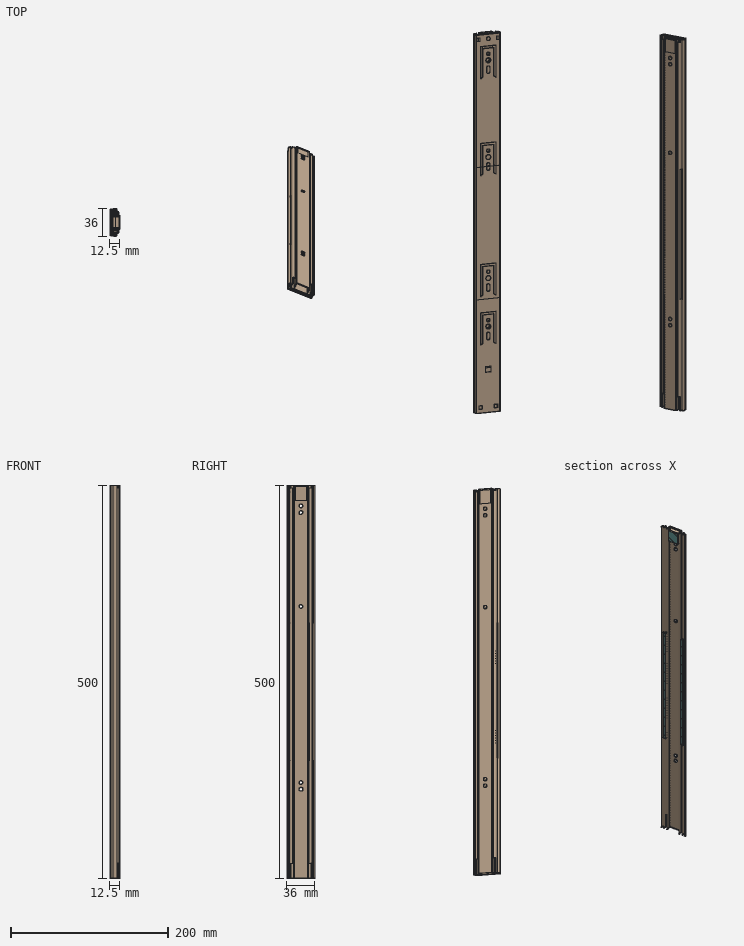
import cadquery as cq
import math


length = 500.0
depth = 12.5
half_width = 18.0
sheet = 1.2
clearance = 0.2

outer_half_neck = 17.0
outer_corner_radius = 1.5
neck_end = 3.5
race_x = 6.5
race_radius = 2.5
race_start_angle = 123
race_end_angle = 20

middle_back_x = 2.5
middle_half = 14.25
middle_lip_x = 11.5
middle_lip_radius = 2.5
middle_lip_half = 10.5
middle_notch_x = 10.0
middle_notch_bottom = 19.0
middle_notch_top = 3.0

inner_half_back = 8.5
inner_half = 9.5
inner_bend_x = 11.0
inner_lip_x = 5.0

tongue_tops = [484.5, 356.5, 196.5, 132.5]
tongue_height = 42.5
tongue_half_outside = 10.5
tongue_half_inside = 7.5
tongue_cross_slot = 3.0
tongue_end_slant = 2.0
small_hole_drop = 10.5
small_hole_diameter = 4.5
large_hole_drop = 19.0
large_hole_diameter = 6.5
long_slot_drop = 31.5
long_slot_length = 10.0
long_slot_width = 4.5

through_small = [0, 1, 3]
through_large = [0, 3]
through_hole_diameter = 4.5

end_hole_diameter = 5.0
end_hole_z = 494.0
window_width = 7.5
window_bottom = 53.5
window_top = 59.0
window_ramp = 2.0
foot_hole_side = 4.5
foot_hole_y = 10.5
foot_hole_z = 7.5
dent_y = 13.5
dent_width = 4.5
dent_height = 4.5
dent_depth = 1.0
dent_z = 494.0

cage_bottom = 150.0
cage_length = 175.0
cage_sheet = 0.8
outer_cage_arm = 1.1
outer_cage_end_x = 7.5
inner_cage_arm = 2.0
inner_cage_end_x = 9.0

stop_half_width = 7.0
stop_bottom = 481.0
stop_length = 17.5
stop_split_x = 7.0


def mirrored(half_section):
    """Join a half section on the +Y side to its mirror image."""
    return half_section.union(half_section.mirror("XZ"))


def back_hole(center_y, center_z, diameter):
    """A round cutter along X, through every rail."""
    return cq.Workplane("YZ").center(center_y, center_z).circle(diameter / 2).extrude(depth)


def back_window(center_y, center_z, size_y, size_z):
    """A rectangular cutter along X, through the outer rail's back."""
    return cq.Workplane("YZ").center(center_y, center_z).rect(size_y, size_z).extrude(sheet)


def tongue_cutter(top):
    """The U-shaped slot that frees a tongue, with the tongue's two holes and long slot."""
    bottom = top - tongue_height
    half_slot = (
        cq.Workplane("YZ")
        .moveTo(0, top)
        .lineTo(tongue_half_outside, top)
        .lineTo(tongue_half_outside, bottom)
        .lineTo(tongue_half_inside, bottom + tongue_end_slant)
        .lineTo(tongue_half_inside, top - tongue_cross_slot)
        .lineTo(0, top - tongue_cross_slot)
        .close()
        .extrude(sheet)
    )
    long_slot = (
        cq.Workplane("YZ")
        .center(0, top - long_slot_drop)
        .slot2D(long_slot_length, long_slot_width, 90)
        .extrude(sheet)
    )
    return (
        mirrored(half_slot)
        .union(long_slot)
        .union(back_hole(0, top - small_hole_drop, small_hole_diameter))
        .union(back_hole(0, top - large_hole_drop, large_hole_diameter))
    )


def cut_through_holes(rail):
    """Drill a rail behind the outer one in line with the chosen tongue holes."""
    for index in through_small:
        rail = rail.cut(back_hole(0, tongue_tops[index] - small_hole_drop, through_hole_diameter))
    for index in through_large:
        rail = rail.cut(back_hole(0, tongue_tops[index] - large_hole_drop, through_hole_diameter))
    return rail


def dent(side):
    """A shallow V-shaped cutter in the outer face of the back; side is +1 or -1 along Y."""
    return (
        cq.Workplane("XY")
        .workplane(offset=dent_z - dent_height / 2)
        .moveTo(0, side * (dent_y - dent_width / 2))
        .lineTo(dent_depth, side * dent_y)
        .lineTo(0, side * (dent_y + dent_width / 2))
        .close()
        .extrude(dent_height)
    )


def window_cutter():
    """A rectangular window whose upper edge slopes outward."""
    return (
        cq.Workplane("XZ")
        .workplane(offset=-window_width / 2)
        .moveTo(0, window_bottom)
        .lineTo(0, window_top + window_ramp)
        .lineTo(sheet, window_top)
        .lineTo(sheet, window_bottom)
        .close()
        .extrude(window_width)
    )


def race_point(radius, angle):
    """A point on a circle about the outer race's centre; the angle runs from +X to +Y, in degrees."""
    turn = math.radians(angle)
    return (race_x + radius * math.cos(turn), half_width - race_radius + radius * math.sin(turn))


def make_outer_rail():
    """Channel open toward +X whose flanges swell into ball races."""
    crest_angle = 90
    inside_radius = race_radius - sheet
    half = (
        cq.Workplane("XY")
        .lineTo(0, outer_half_neck - outer_corner_radius)
        .radiusArc((outer_corner_radius, outer_half_neck), outer_corner_radius)
        .lineTo(neck_end, outer_half_neck)
        .lineTo(*race_point(race_radius, race_start_angle))
        .threePointArc(race_point(race_radius, crest_angle), race_point(race_radius, race_end_angle))
        .tangentArcPoint(race_point(inside_radius, race_end_angle), relative=False)
        .threePointArc(
            race_point(inside_radius, crest_angle), race_point(inside_radius, race_start_angle)
        )
        .lineTo(neck_end, outer_half_neck - sheet)
        .lineTo(sheet, outer_half_neck - sheet)
        .lineTo(sheet, 0)
        .close()
        .extrude(length)
    )
    rail = mirrored(half)
    for top in tongue_tops:
        rail = rail.cut(tongue_cutter(top))
    rail = rail.cut(back_hole(0, end_hole_z, end_hole_diameter))
    rail = rail.cut(window_cutter())
    for side in (1, -1):
        rail = rail.cut(back_window(side * foot_hole_y, foot_hole_z, foot_hole_side, foot_hole_side))
        rail = rail.cut(dent(side))
    return rail


def make_middle_rail():
    """Channel open toward +X with lips that curl inward, cut back at both ends."""
    lip_start_x = middle_lip_x - middle_lip_radius
    lip_curl_y = middle_half - middle_lip_radius
    half = (
        cq.Workplane("XY")
        .moveTo(middle_back_x, 0)
        .lineTo(middle_back_x, middle_half)
        .lineTo(lip_start_x, middle_half)
        .radiusArc((middle_lip_x, lip_curl_y), middle_lip_radius)
        .lineTo(middle_lip_x, middle_lip_half)
        .lineTo(middle_lip_x - sheet, middle_lip_half)
        .lineTo(middle_lip_x - sheet, lip_curl_y)
        .radiusArc((lip_start_x, middle_half - sheet), -(middle_lip_radius - sheet))
        .lineTo(middle_back_x + sheet, middle_half - sheet)
        .lineTo(middle_back_x + sheet, 0)
        .close()
        .extrude(length)
    )
    rail = mirrored(half)
    for bottom, height in ((0, middle_notch_bottom), (length - middle_notch_top, middle_notch_top)):
        notch = (
            cq.Workplane("XY")
            .workplane(offset=bottom)
            .center((middle_notch_x + depth) / 2, 0)
            .rect(depth - middle_notch_x, 2 * half_width)
            .extrude(height)
        )
        rail = rail.cut(notch)
    return cut_through_holes(rail)


def make_inner_rail():
    """Channel open toward -X with its back on the +X side."""
    half = (
        cq.Workplane("XY")
        .moveTo(depth, 0)
        .lineTo(depth, inner_half_back)
        .lineTo(inner_bend_x, inner_half)
        .lineTo(inner_lip_x, inner_half)
        .lineTo(inner_lip_x, inner_half - sheet)
        .lineTo(inner_bend_x, inner_half - sheet)
        .lineTo(depth - sheet, inner_half_back - sheet)
        .lineTo(depth - sheet, 0)
        .close()
        .extrude(length)
    )
    return cut_through_holes(mirrored(half))


def make_cage(back_x, end_x, half_outside, arm):
    """Ball cage: a thin web joining two thicker arms that lie between two rails' flanges."""
    half = (
        cq.Workplane("XY")
        .workplane(offset=cage_bottom)
        .moveTo(back_x, 0)
        .lineTo(back_x, half_outside)
        .lineTo(end_x, half_outside)
        .lineTo(end_x, half_outside - arm)
        .lineTo(back_x + cage_sheet, half_outside - arm)
        .lineTo(back_x + cage_sheet, 0)
        .close()
        .extrude(cage_length)
    )
    return mirrored(half)


def make_stop(start_x, end_x):
    """Stop block between two planes of constant X, near the top end."""
    return (
        cq.Workplane("XY")
        .workplane(offset=stop_bottom)
        .center((start_x + end_x) / 2, 0)
        .rect(end_x - start_x, 2 * stop_half_width)
        .extrude(stop_length)
    )


outer_rail = make_outer_rail()
middle_rail = make_middle_rail()
inner_rail = make_inner_rail()
outer_cage = make_cage(
    sheet + clearance, outer_cage_end_x, outer_half_neck - sheet - clearance, outer_cage_arm
)
inner_cage = make_cage(
    middle_back_x + sheet + clearance, inner_cage_end_x, middle_half - sheet - clearance, inner_cage_arm
)
middle_stop = make_stop(middle_back_x + sheet, stop_split_x)
inner_stop = make_stop(stop_split_x, depth - sheet)

result = cq.Compound.makeCompound(
    [
        outer_rail.val(),
        middle_rail.val(),
        inner_rail.val(),
        outer_cage.val(),
        inner_cage.val(),
        middle_stop.val(),
        inner_stop.val(),
    ]
)